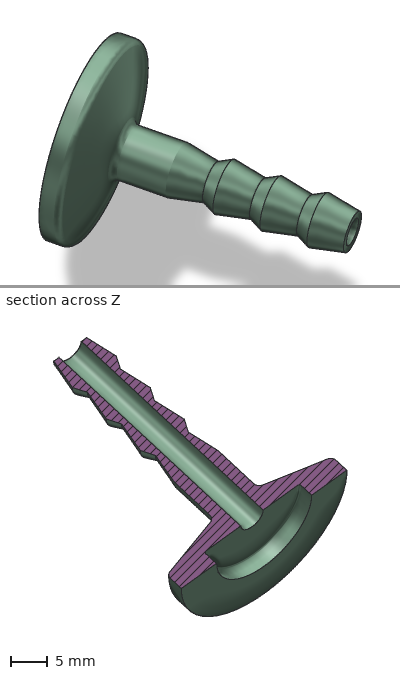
import cadquery as cq
import math

flange_radius = 15.0
flange_edge_thickness = 3.0
flange_back_angle = 15.0
flange_blend_radius = 1.0

recess_radius = 8.6
recess_depth = 2.5
recess_corner_radius = 0.3

overall_length = 40.0
stem_radius = 4.0
root_radius = 3.0
bore_radius = 2.0
taper_length = 5.0
barb_ramp_length = 2.0
barb_count = 3

barb_pitch = taper_length + barb_ramp_length
stem_straight_end = overall_length - taper_length - barb_count * barb_pitch
cone_length = (flange_radius - stem_radius) * math.tan(math.radians(flange_back_angle))
cone_end = flange_edge_thickness + cone_length


def revolve_about_x(profile):
    """Close a radius-over-X profile and turn it a full circle about the X axis."""
    return profile.close().revolve(360, (0, 0, 0), (1, 0, 0))


def make_flange():
    """Flange with a conical back running into a plain straight stem."""
    profile = (
        cq.Workplane("XY")
        .lineTo(0, flange_radius)
        .lineTo(flange_edge_thickness, flange_radius)
        .lineTo(cone_end, stem_radius)
        .lineTo(stem_straight_end, stem_radius)
        .lineTo(stem_straight_end, 0)
    )
    sharp = revolve_about_x(profile)
    margin = flange_blend_radius / 2
    cone_ends = cq.selectors.BoxSelector(
        (flange_edge_thickness - margin, -flange_radius, -flange_radius),
        (cone_end + margin, flange_radius, flange_radius),
    )
    return sharp.edges("%CIRCLE").edges(cone_ends).fillet(flange_blend_radius)


def make_barbs():
    """Barbed end: tapers down to the root, each but the last one followed by a ramp up."""
    profile = cq.Workplane("XY").moveTo(stem_straight_end, 0).lineTo(stem_straight_end, stem_radius)
    for index in range(barb_count):
        taper_start = stem_straight_end + index * barb_pitch
        profile = profile.lineTo(taper_start + taper_length, root_radius)
        profile = profile.lineTo(taper_start + barb_pitch, stem_radius)
    profile = profile.lineTo(overall_length, root_radius).lineTo(overall_length, 0)
    return revolve_about_x(profile)


def make_recess():
    """Tool body for the recess, rounded where its wall meets its floor."""
    disc = cq.Workplane("YZ").circle(recess_radius).extrude(recess_depth)
    return disc.faces(">X").edges().fillet(recess_corner_radius)


def make_bore():
    """Tool body for the through bore."""
    return cq.Workplane("YZ").circle(bore_radius).extrude(overall_length)


result = make_flange().union(make_barbs()).cut(make_recess()).cut(make_bore())